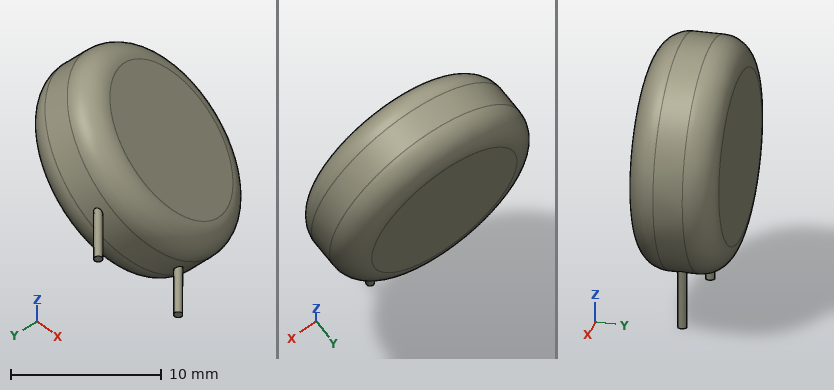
import cadquery as cq

total_height = 19.0
disc_diameter = 16.0
disc_thickness = 6.0
rim_radius = disc_thickness / 3

lead_diameter = 0.6
lead_spacing = 7.79

disc_radius = disc_diameter / 2
lead_bottom = disc_radius - total_height


def make_disc():
    """Upright round body with both rims rounded over."""
    return (
        cq.Workplane("XZ", origin=(0, disc_thickness / 2, 0))
        .circle(disc_radius)
        .extrude(disc_thickness)
        .edges("%CIRCLE")
        .fillet(rim_radius)
        .solids()
    )


def make_lead(x, disc):
    """Straight wire below the disc, its top end shaped to sit against the curved rim."""
    wire = (
        cq.Workplane("XY", origin=(x, 0, lead_bottom))
        .circle(lead_diameter / 2)
        .extrude(-lead_bottom)
    )
    return wire.cut(disc).solids()


disc = make_disc()
leads = [make_lead(side * lead_spacing / 2, disc) for side in (-1, 1)]

result = cq.Compound.makeCompound([disc.val(), *[lead.val() for lead in leads]])